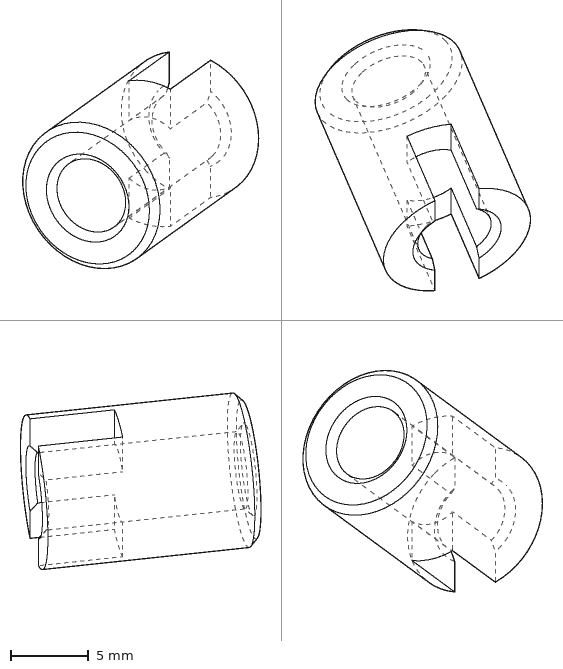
import cadquery as cq

length = 14.0
outer_diameter = 10.0
bore_diameter = 5.0
chamfer = 0.5
slot_width = 3.0
slot_depth = 5.5


def make_sleeve():
    """Sleeve along Y, its front face at Y = 0, chamfered at the front rim and both bore mouths."""
    sleeve = (
        cq.Workplane("XZ")
        .circle(outer_diameter / 2)
        .circle(bore_diameter / 2)
        .extrude(-length)
    )
    sleeve = sleeve.faces("<Y").edges().chamfer(chamfer)
    rear_bore_edge = cq.selectors.RadiusNthSelector(0)
    return sleeve.faces(">Y").edges(rear_bore_edge).chamfer(chamfer)


def make_slot():
    """Cutter for the slot that crosses both walls at the rear end."""
    return cq.Workplane("XY").box(
        slot_width, slot_depth, outer_diameter, centered=(True, False, True)
    ).translate((0, length - slot_depth, 0))


result = make_sleeve().cut(make_slot())